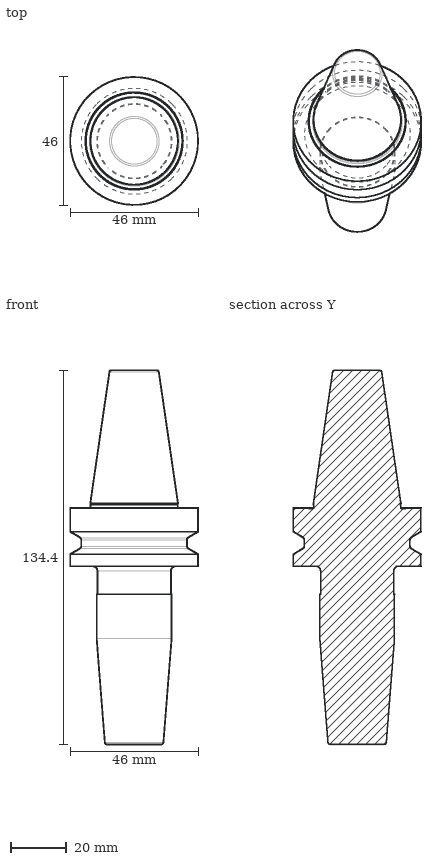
import cadquery as cq
import math


gauge_dia = 31.75
taper_ratio = 7 / 24
taper_top_z = 48.4
taper_tip_round = 0.7
taper_bottom_z = 0.65

notch_z = 0.42
base_top_z = 0.2
notch_dia = 31.1
base_dia = 31.4

recess_depth = 0.2
recess_floor_dia = 34.5
recess_mouth_dia = 35.1
recess_root_round = 0.4

flange_dia = 46.0
flange_top_z = -1.0
flange_bottom_z = -22.0
groove_mid_z = -13.6
groove_mouth_width = 8.0
groove_floor_dia = 38.0
groove_wall_angle = 30.0
groove_floor_round = 0.9

neck_dia = 26.5
neck_root_round = 1.6
neck_bottom_z = -32.0
body_dia = 27.0
tip_dia = 21.0
nose_angle = 4.5
nose_bottom_z = -86.0
nose_tip_round = 1.0


def taper_radius(z):
    """Radius of the machine taper at height z."""
    return (gauge_dia - taper_ratio * z) / 2


def make_taper():
    """Steep taper with a rounded small end, with a fine notch above its short cylindrical base."""
    base_radius = base_dia / 2
    foot_radius = base_radius + recess_root_round
    foot_top_z = flange_top_z - recess_depth + recess_root_round
    taper = (
        cq.Workplane("XZ")
        .moveTo(0, flange_top_z)
        .lineTo(foot_radius, flange_top_z)
        .lineTo(foot_radius, foot_top_z)
        .lineTo(base_radius, foot_top_z)
        .lineTo(base_radius, base_top_z)
        .lineTo(notch_dia / 2, notch_z)
        .lineTo(taper_radius(taper_bottom_z), taper_bottom_z)
        .lineTo(taper_radius(taper_top_z), taper_top_z)
        .lineTo(0, taper_top_z)
        .close()
        .revolve(360, (0, 0), (0, 1))
    )
    return taper.faces(">Z").edges().fillet(taper_tip_round)


def make_recess():
    """Cutter for the ring recess: sloping outer wall, flat floor, concave round at the taper base."""
    base_radius = base_dia / 2
    floor_z = flange_top_z - recess_depth
    round_top_z = floor_z + recess_root_round
    arc_inset = recess_root_round * (1 - math.sqrt(0.5))
    return (
        cq.Workplane("XZ")
        .moveTo(base_radius, round_top_z)
        .threePointArc(
            (base_radius + arc_inset, floor_z + arc_inset),
            (base_radius + recess_root_round, floor_z),
        )
        .lineTo(recess_floor_dia / 2, floor_z)
        .lineTo(recess_mouth_dia / 2, flange_top_z)
        .lineTo(recess_mouth_dia / 2, round_top_z)
        .close()
        .revolve(360, (0, 0), (0, 1))
    )


def make_neck_root():
    """Concave round between the underside of the flange and the neck."""
    neck_radius = neck_dia / 2
    arc_inset = neck_root_round * (1 - math.sqrt(0.5))
    round_bottom_z = flange_bottom_z - neck_root_round
    return (
        cq.Workplane("XZ")
        .moveTo(0, flange_bottom_z)
        .lineTo(neck_radius + neck_root_round, flange_bottom_z)
        .threePointArc(
            (neck_radius + arc_inset, flange_bottom_z - arc_inset),
            (neck_radius, round_bottom_z),
        )
        .lineTo(0, round_bottom_z)
        .close()
        .revolve(360, (0, 0), (0, 1))
    )


def make_flange():
    """Flange disc with a V groove around its rim."""
    flange_radius = flange_dia / 2
    floor_radius = groove_floor_dia / 2
    half_mouth = groove_mouth_width / 2
    wall_drop = (flange_radius - floor_radius) * math.tan(math.radians(groove_wall_angle))
    half_floor = half_mouth - wall_drop
    disc = (
        cq.Workplane("XY", origin=(0, 0, flange_bottom_z))
        .circle(flange_radius)
        .extrude(flange_top_z - flange_bottom_z)
    )
    groove = (
        cq.Workplane("XZ")
        .moveTo(flange_radius, groove_mid_z + half_mouth)
        .lineTo(floor_radius, groove_mid_z + half_floor)
        .lineTo(floor_radius, groove_mid_z - half_floor)
        .lineTo(flange_radius, groove_mid_z - half_mouth)
        .close()
        .revolve(360, (0, 0), (0, 1))
    )
    smallest_circles = cq.selectors.RadiusNthSelector(0)
    return disc.cut(groove).edges("%CIRCLE").edges(smallest_circles).fillet(groove_floor_round)


def make_nose():
    """Relieved neck, cylindrical body and slim cone with a rounded tip."""
    neck_radius = neck_dia / 2
    body_radius = body_dia / 2
    tip_radius = tip_dia / 2
    cone_length = (body_radius - tip_radius) / math.tan(math.radians(nose_angle))
    cone_top_z = nose_bottom_z + cone_length
    nose = (
        cq.Workplane("XZ")
        .moveTo(0, flange_bottom_z)
        .lineTo(neck_radius, flange_bottom_z)
        .lineTo(neck_radius, neck_bottom_z)
        .lineTo(body_radius, neck_bottom_z)
        .lineTo(body_radius, cone_top_z)
        .lineTo(tip_radius, nose_bottom_z)
        .lineTo(0, nose_bottom_z)
        .close()
        .revolve(360, (0, 0), (0, 1))
    )
    return nose.faces("<Z").edges().fillet(nose_tip_round)


result = (
    make_flange()
    .union(make_taper())
    .union(make_nose())
    .union(make_neck_root())
    .cut(make_recess())
)